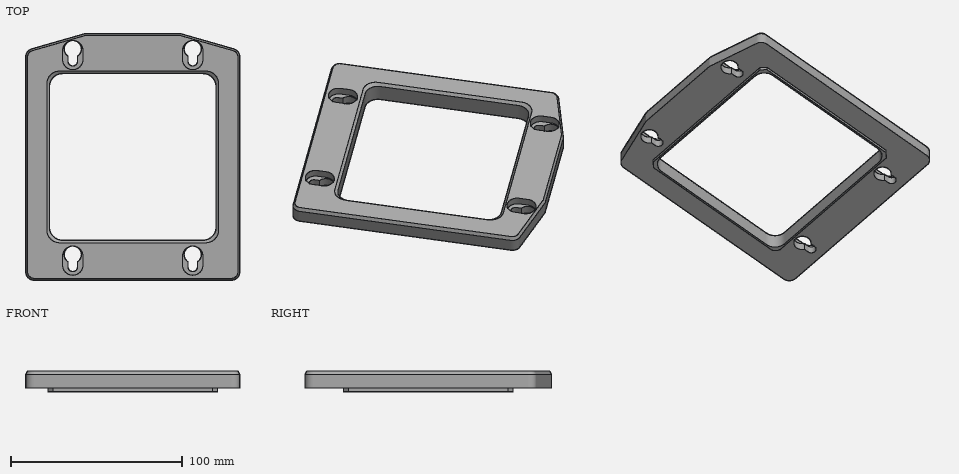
import cadquery as cq
import math

plate_width = 125.0
plate_length = 144.0
total_height = 12.2
lip_height = 2.2
plate_thickness = total_height - lip_height
corner_radius = 4.9

flat_end_width = 55.6
taper_drop = 10.0

rim_bevel_width = 1.2
rim_bevel_depth = 2.0

window_size = 97.0
window_radius = 7.5
window_bevel = 1.6
lip_size = 99.0
lip_corner_cut = 2.9

keyhole_spacing_x = 70.0
keyhole_spacing_y = 119.9
upper_entry_y = 62.9
keyhole_travel = 7.0
entry_diameter = 10.0
shank_slot_width = 5.5
recess_width = 12.0
recess_travel = 5.0
recess_depth = 4.6


def make_plate():
    half_width = plate_width / 2
    half_length = plate_length / 2
    half_flat = flat_end_width / 2
    shoulder_y = half_length - taper_drop
    outline = [
        (-half_width, -half_length),
        (half_width, -half_length),
        (half_width, shoulder_y),
        (half_flat, half_length),
        (-half_flat, half_length),
        (-half_width, shoulder_y),
    ]
    lower_body = (
        cq.Workplane("XY")
        .polyline(outline)
        .close()
        .extrude(plate_thickness - rim_bevel_depth)
        .edges("|Z and (<X or >X)")
        .fillet(corner_radius)
    )
    bevel_angle = math.degrees(math.atan2(rim_bevel_width, rim_bevel_depth))
    return lower_body.faces(">Z").wires().toPending().extrude(rim_bevel_depth, taper=bevel_angle)


def make_lip():
    return (
        cq.Workplane("XY")
        .rect(lip_size, lip_size)
        .extrude(-lip_height)
        .edges("|Z")
        .chamfer(lip_corner_cut)
    )


def rounded_square(size, radius):
    return cq.Sketch().rect(size, size).vertices().fillet(radius)


def make_window_cutter():
    opening = (
        cq.Workplane("XY", origin=(0, 0, -lip_height))
        .rect(window_size, window_size)
        .extrude(total_height)
        .edges("|Z")
        .fillet(window_radius)
    )
    flare_size = window_size + 2 * window_bevel
    flare = (
        cq.Workplane("XY")
        .placeSketch(
            rounded_square(window_size, window_radius).moved(z=plate_thickness - window_bevel),
            rounded_square(flare_size, window_radius).moved(z=plate_thickness),
        )
        .loft()
    )
    return opening.union(flare)


def make_slot(width, travel, bottom_z):
    """Round-ended slot along Y, open at the top and centred halfway along the keyhole travel."""
    return (
        cq.Workplane("XY", origin=(0, -keyhole_travel / 2, bottom_z))
        .slot2D(travel + width, width, 90)
        .extrude(plate_thickness - bottom_z)
    )


def make_keyhole_cutter():
    """Keyhole with its entry hole centred on the origin and the shank slot towards -Y."""
    entry_hole = cq.Workplane("XY").circle(entry_diameter / 2).extrude(plate_thickness)
    shank_slot = make_slot(shank_slot_width, keyhole_travel, 0)
    recess = make_slot(recess_width, recess_travel, plate_thickness - recess_depth)
    return entry_hole.union(shank_slot).union(recess)


result = make_plate().union(make_lip()).cut(make_window_cutter())

keyhole_cutter = make_keyhole_cutter()
for x in (-keyhole_spacing_x / 2, keyhole_spacing_x / 2):
    for y in (upper_entry_y, upper_entry_y - keyhole_spacing_y):
        result = result.cut(keyhole_cutter.translate((x, y, 0)))